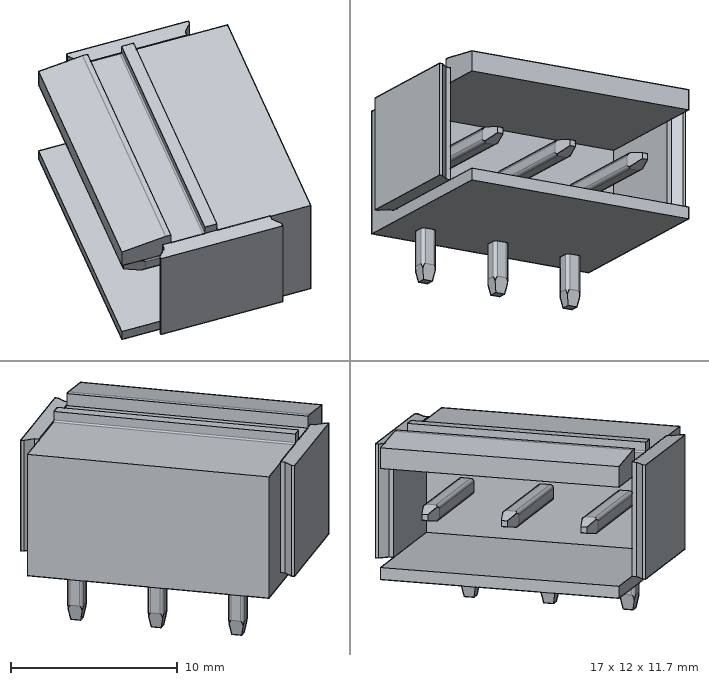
import cadquery as cq


BODY_WIDTH = 15.0
BODY_DEPTH = 12.0
BODY_HEIGHT = 7.74
FLOOR_THICKNESS = 0.75
CEILING_Z = 6.87
BACK_WALL_THICKNESS = 3.0

LIP_BACK_Y = 3.11
LIP_FLAT_DEPTH = 0.32
LIP_TOP_Z = 8.5
LIP_FRONT_Z = 8.15

RAIL_FRONT_Y = 5.27
RAIL_DEPTH = 0.76
RAIL_TOP_Z = 8.38
RAIL_FOOT_RADIUS = 0.1

OVERALL_WIDTH = 17.0
WALL_FRONT_Y = 2.12
WALL_DEPTH = 7.75
WALL_TOP_Z = 7.8
WALL_RIM_THICKNESS = 0.19
WALL_NECK_THICKNESS = 0.29
DOVETAIL_INSET = 0.46

PIN_COUNT = 3
PIN_PITCH = 5.0
PIN_SIZE = 0.99
PIN_CORNER_RADIUS = 0.2
PIN_AXIS_Z = 3.8
LEG_AXIS_Y = 9.9
CONTACT_END_Y = 0.92
CONTACT_TIP_SIZE = 0.37
CONTACT_TAPER_LENGTH = 1.3
LEG_END_Z = -3.2
LEG_TIP_SIZE = 0.61
LEG_TAPER_LENGTH = 0.97

CAVITY_DEPTH = BODY_DEPTH - BACK_WALL_THICKNESS
RAIL_BACK_Y = RAIL_FRONT_Y + RAIL_DEPTH
PIN_OUTER_Y = LEG_AXIS_Y + PIN_SIZE / 2
PIN_OUTER_Z = PIN_AXIS_Z + PIN_SIZE / 2


def make_shell():
    """Floor, back wall, roof, rail and lip as one side profile swept across the width."""
    profile = [
        (0, 0),
        (BODY_DEPTH, 0),
        (BODY_DEPTH, BODY_HEIGHT),
        (RAIL_BACK_Y, BODY_HEIGHT),
        (RAIL_BACK_Y, RAIL_TOP_Z),
        (RAIL_FRONT_Y, RAIL_TOP_Z),
        (RAIL_FRONT_Y, BODY_HEIGHT),
        (LIP_BACK_Y, BODY_HEIGHT),
        (LIP_BACK_Y, LIP_TOP_Z),
        (LIP_BACK_Y - LIP_FLAT_DEPTH, LIP_TOP_Z),
        (0, LIP_FRONT_Z),
        (0, CEILING_Z),
        (CAVITY_DEPTH, CEILING_Z),
        (CAVITY_DEPTH, FLOOR_THICKNESS),
        (0, FLOOR_THICKNESS),
    ]
    shell = cq.Workplane("YZ").polyline(profile).close().extrude(BODY_WIDTH / 2, both=True)
    for foot_y in (RAIL_FRONT_Y, RAIL_BACK_Y):
        foot_edge = cq.selectors.NearestToPointSelector((0, foot_y, BODY_HEIGHT))
        shell = shell.edges(foot_edge).fillet(RAIL_FOOT_RADIUS)
    return shell


def make_right_wall():
    """Side wall with a dovetail plan: a narrow neck on the shell, flaring to a wide outer face."""
    inner_x = BODY_WIDTH / 2
    neck_x = inner_x + WALL_NECK_THICKNESS
    outer_x = OVERALL_WIDTH / 2
    rim_x = outer_x - WALL_RIM_THICKNESS
    wall_back_y = WALL_FRONT_Y + WALL_DEPTH
    neck_front_y = WALL_FRONT_Y + DOVETAIL_INSET
    neck_back_y = wall_back_y - DOVETAIL_INSET
    plan = [
        (inner_x, neck_front_y),
        (neck_x, neck_front_y),
        (rim_x, WALL_FRONT_Y),
        (outer_x, WALL_FRONT_Y),
        (outer_x, wall_back_y),
        (rim_x, wall_back_y),
        (neck_x, neck_back_y),
        (inner_x, neck_back_y),
    ]
    base = cq.Workplane("XY").workplane(offset=FLOOR_THICKNESS)
    return base.polyline(plan).close().extrude(WALL_TOP_Z - FLOOR_THICKNESS)


def make_bar(length, tip_size, taper_length):
    """Upright square bar with rounded corners, standing on Z = 0 and tapering to its top end."""
    shaft_length = length - taper_length
    bar = (
        cq.Workplane("XY")
        .rect(PIN_SIZE, PIN_SIZE)
        .extrude(length)
        .edges("|Z")
        .fillet(PIN_CORNER_RADIUS)
    )
    shaft = cq.Workplane("XY").rect(PIN_SIZE, PIN_SIZE).extrude(shaft_length)
    tip = (
        cq.Workplane("XY")
        .workplane(offset=shaft_length)
        .rect(PIN_SIZE, PIN_SIZE)
        .workplane(offset=taper_length)
        .rect(tip_size, tip_size)
        .loft(ruled=True)
    )
    return bar.intersect(shaft.union(tip))


def make_pin(x):
    """Right-angle pin: a contact pointing to the front and a solder leg pointing down."""
    contact = (
        make_bar(PIN_OUTER_Y - CONTACT_END_Y, CONTACT_TIP_SIZE, CONTACT_TAPER_LENGTH)
        .rotate((0, 0, 0), (1, 0, 0), 90)
        .translate((x, PIN_OUTER_Y, PIN_AXIS_Z))
    )
    leg = (
        make_bar(PIN_OUTER_Z - LEG_END_Z, LEG_TIP_SIZE, LEG_TAPER_LENGTH)
        .rotate((0, 0, 0), (1, 0, 0), 180)
        .translate((x, LEG_AXIS_Y, PIN_OUTER_Z))
    )
    return contact.union(leg)


pins = []
for index in range(PIN_COUNT):
    pins.append(make_pin((index - (PIN_COUNT - 1) / 2) * PIN_PITCH))

right_wall = make_right_wall()
left_wall = right_wall.mirror("YZ")
housing = make_shell().union(right_wall).union(left_wall)
for pin in pins:
    housing = housing.cut(pin)

pin_solids = [pin.solids().val() for pin in pins]
result = cq.Compound.makeCompound([housing.solids().val(), *pin_solids])